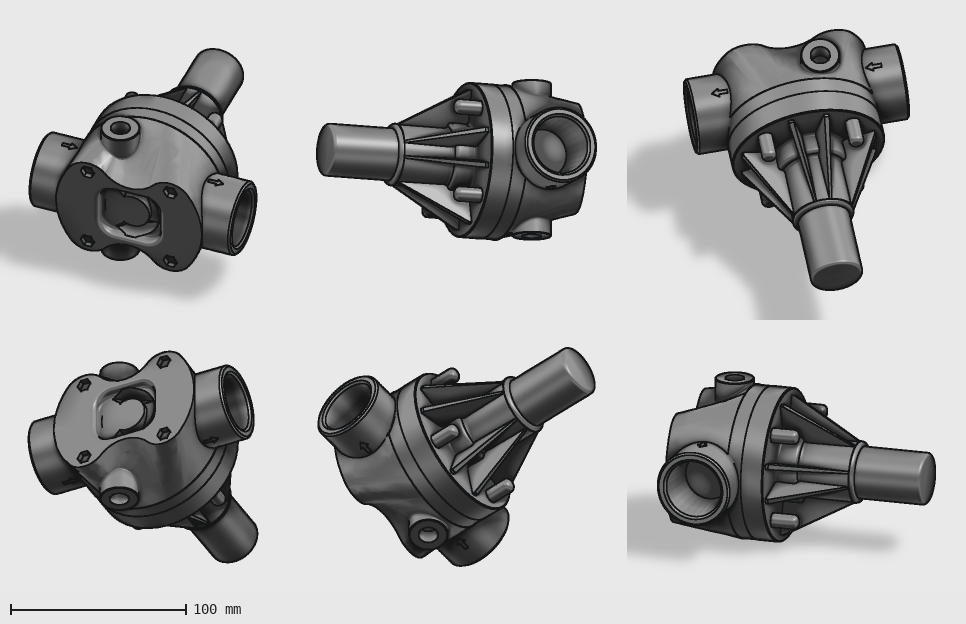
import cadquery as cq
import math

TOTAL_LENGTH = 144.2

BODY_DIAMETER = 89.0
BODY_RADIUS = BODY_DIAMETER / 2
RIM_START = 36.3
FLANGE_START = 45.0
FLANGE_END = 58.1
FLANGE_CHAMFER = 0.6
RIM_RADIUS = 44.1
FLANGE_RADIUS = 44.3

SIDE_ARC_RADIUS = 44.7
LOBE_RADIUS = 13.7
LOBE_X = 25.0
WAIST_Z = 21.0

RIM_SIDE_ANGLE = 62.0
RIM_WAIST_ANGLE = 78.0

PIPE_DIAMETER = 43.5
PIPE_RADIUS = PIPE_DIAMETER / 2
PIPE_SPAN = 123.2
PIPE_CHAMFER = 1.2
BRANCH_Y = 22.2
BORE_DEPTH = 28.8
BORE_MOUTH_DIAMETER = 35.6
BORE_START_DIAMETER = 32.9
BORE_END_DIAMETER = 28.0
BORE_CHAMFER_DEPTH = 1.3
BOSS_DIAMETER = 22.2
BOSS_X = -13.8
BOSS_CHAMFER = 0.5
BOSS_HOLE_DIAMETER = 11.1
BOSS_HOLE_DEPTH = 10.1
DRILL_TIP_ANGLE = 118.0
BOSS_ROOT_FILLET = 1.0
PIPE_ROOT_FILLET = 0.3
ON_WALL_TOLERANCE = 0.001

ARROW_STARTS = (-49.5, 40.2)
ARROW_LENGTH = 9.1
ARROW_HEAD_LENGTH = 4.0
ARROW_HEAD_WIDTH = 5.5
ARROW_SHAFT_WIDTH = 2.3
ARROW_HEIGHT = 0.3

SCREW_OFFSET = 25.4
HEX_CORNER_DIAMETER = 8.4
HEX_DEPTH = 3.6
PIN_DIAMETER = 8.4
PIN_END = 73.5
PIN_FILLET = 2.9

HUB_NECK_RADIUS = 20.5
HUB_FOOT_FILLET = 1.9
HUB_RADIUS = 20.8
HUB_NECK_END = 63.1
HUB_CYLINDER_END = 68.3
HUB_SHOULDER = 70.6
SLEEVE_START = 73.4
SLEEVE_DIAMETER = 34.7
SLEEVE_RADIUS = SLEEVE_DIAMETER / 2
COLLAR_START = 101.0
COLLAR_END = 103.6
COLLAR_DIAMETER = 35.6
COLLAR_FILLET = 2.5
TUBE_DIAMETER = 30.0
TUBE_RADIUS = TUBE_DIAMETER / 2
TUBE_FILLET = 2.2
DOME_HEIGHT = 1.0

RIB_HALF_ANGLE = 15.0
RIB_BASE_RADIUS = 41.0
RIB_TOP_RADIUS = 17.3
RIB_TRIM_RADIUS = 40.1
RIB_BASE_THICKNESS = 3.0
RIB_TOP_THICKNESS = 1.5
RIB_TOP = 100.9

POCKET_HALF_X = 18.9
POCKET_HALF_Z = 16.5
POCKET_CORNER_RADIUS = 9.8
POCKET_LIP_FILLET = 2.6
POCKET_FLOOR_FILLET = 2.6
POCKET_FLOOR = 5.3
WELL_RADIUS = 16.7
WELL_FLOOR = 17.3
PLUG_RADIUS = 10.5
PASSAGE_RADIUS = 13.8
WEDGE_START_X = -9.1
WEDGE_START_Z = 13.5
WEDGE_TIP_X = -5.2
WEDGE_TIP_Z = 9.5
WEDGE_END_X = -2.6


def xz_plane(y):
    """Sketch plane at height y along the main axis: local x = X, local y = Z, normal = -Y."""
    return cq.Workplane("XZ", origin=(0, y, 0))


def disc(radius, start, end):
    """Cylinder on the main axis from Y = start to Y = end."""
    return xz_plane(end).circle(radius).extrude(end - start)


def polar(radius, angle):
    return (radius * math.cos(angle), radius * math.sin(angle))


def arc_chain(corners, middles):
    """Closed outline of arcs; middles[i] lies on the arc from corners[i] to the next corner."""
    outline = cq.Workplane("XZ").moveTo(*corners[0])
    for middle, corner in zip(middles, corners[1:] + corners[:1]):
        outline = outline.threePointArc(middle, corner)
    return outline.close().wire().val()


def mirrored_ring(upper_right):
    """Extend points given in the upper right quadrant, anticlockwise, to all four quadrants."""
    upper_left = [(-x, z) for x, z in reversed(upper_right)]
    lower_left = [(-x, -z) for x, z in upper_right]
    lower_right = [(x, -z) for x, z in reversed(upper_right)]
    return upper_right + upper_left + lower_left + lower_right


def arc_middles(lobe_point, waist_z, side_x):
    """Middle points of the eight arcs, anticlockwise from the upper right lobe."""
    x, z = lobe_point
    return [(x, z), (0, waist_z), (-x, z), (-side_x, 0), (-x, -z), (0, -waist_z), (x, -z), (side_x, 0)]


def tapered_body():
    """Ruled transition from the round rim to the four-lobed mounting face."""
    lobe_centre_distance = SIDE_ARC_RADIUS - LOBE_RADIUS
    lobe_z = math.sqrt(lobe_centre_distance**2 - LOBE_X**2)
    side_angle = math.atan2(lobe_z, LOBE_X)

    drop = WAIST_Z - lobe_z
    waist_radius = (LOBE_X**2 + drop**2 - LOBE_RADIUS**2) / (2 * (LOBE_RADIUS - drop))
    waist_centre_z = WAIST_Z + waist_radius
    share = LOBE_RADIUS / (LOBE_RADIUS + waist_radius)
    waist_end = (LOBE_X * (1 - share), lobe_z + share * (waist_centre_z - lobe_z))

    face_corners = mirrored_ring([polar(SIDE_ARC_RADIUS, side_angle), waist_end])
    lobe_top = (LOBE_X, lobe_z + LOBE_RADIUS)
    face_middles = arc_middles(lobe_top, WAIST_Z, SIDE_ARC_RADIUS)

    rim_side_angle = math.radians(RIM_SIDE_ANGLE)
    rim_waist_angle = math.radians(RIM_WAIST_ANGLE)
    rim_corners = mirrored_ring([polar(BODY_RADIUS, rim_side_angle), polar(BODY_RADIUS, rim_waist_angle)])
    rim_lobe = polar(BODY_RADIUS, (rim_side_angle + rim_waist_angle) / 2)
    rim_middles = arc_middles(rim_lobe, BODY_RADIUS, BODY_RADIUS)

    face = arc_chain(face_corners, face_middles)
    rim = arc_chain(rim_corners, rim_middles).translate(cq.Vector(0, RIM_START, 0))
    return cq.Workplane(cq.Solid.makeLoft([face, rim], True))


def boss_wall_distance(point):
    return math.hypot(point.x - BOSS_X, point.y - BRANCH_Y) - BOSS_DIAMETER / 2


def pipe_wall_distance(point):
    return math.hypot(point.z, point.y - BRANCH_Y) - PIPE_RADIUS


def fillet_root(solid, wall_distance, open_ends, radius):
    """Round the curved edges where a branch wall meets the body, leaving its open ends sharp."""
    end_edges = solid.faces(open_ends).edges().vals()

    def is_root(edge):
        samples = [edge.positionAt(share) for share in (0, 0.3, 0.6, 1)]
        on_wall = all(abs(wall_distance(point)) < ON_WALL_TOLERANCE for point in samples)
        is_end = any(edge.isSame(end_edge) for end_edge in end_edges)
        return on_wall and edge.geomType() != "LINE" and not is_end

    root_edges = [edge for edge in solid.edges().vals() if is_root(edge)]
    return solid.newObject(root_edges).fillet(radius)


def body():
    rim = disc(RIM_RADIUS, RIM_START, FLANGE_START)
    flange = disc(FLANGE_RADIUS, FLANGE_START, FLANGE_END).faces(">Y").chamfer(FLANGE_CHAMFER)
    pipe = (
        cq.Workplane("YZ", origin=(-PIPE_SPAN / 2, BRANCH_Y, 0))
        .circle(PIPE_RADIUS)
        .extrude(PIPE_SPAN)
    )
    bosses = (
        cq.Workplane("XY", origin=(BOSS_X, BRANCH_Y, -BODY_RADIUS))
        .circle(BOSS_DIAMETER / 2)
        .extrude(BODY_DIAMETER)
    )
    core = fillet_root(tapered_body().union(bosses), boss_wall_distance, "<Z or >Z", BOSS_ROOT_FILLET)
    core = core.faces("<Z or >Z").chamfer(BOSS_CHAMFER)
    core = fillet_root(core.union(rim).union(pipe), pipe_wall_distance, "<X or >X", PIPE_ROOT_FILLET)
    core = core.faces("<X or >X").chamfer(PIPE_CHAMFER)
    return core.union(flange)


def pipe_bores():
    """Blind tapered bores in both pipe stubs, each with a chamfered mouth."""
    mouth_x = PIPE_SPAN / 2
    half_profile = [
        (mouth_x, 0),
        (mouth_x, BORE_MOUTH_DIAMETER / 2),
        (mouth_x - BORE_CHAMFER_DEPTH, BORE_START_DIAMETER / 2),
        (mouth_x - BORE_DEPTH, BORE_END_DIAMETER / 2),
        (mouth_x - BORE_DEPTH, 0),
    ]
    bore = (
        cq.Workplane("XY", origin=(0, BRANCH_Y, 0))
        .polyline(half_profile)
        .close()
        .revolve(360, (0, 0, 0), (1, 0, 0))
    )
    return bore.union(bore.mirror("YZ"))


def boss_holes():
    """Blind drilled holes with conical bottoms in the upper and lower bosses."""
    radius = BOSS_HOLE_DIAMETER / 2
    tip = radius / math.tan(math.radians(DRILL_TIP_ANGLE / 2))
    floor_z = BODY_RADIUS - BOSS_HOLE_DEPTH
    hole = (
        cq.Workplane("XZ", origin=(BOSS_X, BRANCH_Y, 0))
        .polyline([(0, BODY_RADIUS), (radius, BODY_RADIUS), (radius, floor_z), (0, floor_z - tip)])
        .close()
        .revolve(360, (0, 0, 0), (0, 1, 0))
    )
    return hole.union(hole.mirror("XY"))


def flow_arrows():
    """Arrows pointing to +X, raised on the top and bottom of both pipe stubs."""
    neck = ARROW_LENGTH - ARROW_HEAD_LENGTH
    half_shaft = ARROW_SHAFT_WIDTH / 2
    half_head = ARROW_HEAD_WIDTH / 2
    outline = [
        (0, -half_shaft), (neck, -half_shaft), (neck, -half_head), (ARROW_LENGTH, 0),
        (neck, half_head), (neck, half_shaft), (0, half_shaft),
    ]
    raised_surface = (
        cq.Workplane("YZ", origin=(-PIPE_SPAN / 2, BRANCH_Y, 0))
        .circle(PIPE_RADIUS + ARROW_HEIGHT)
        .circle(PIPE_RADIUS - ARROW_HEIGHT)
        .extrude(PIPE_SPAN)
    )
    arrows = cq.Workplane("XY")
    for start in ARROW_STARTS:
        arrow = (
            cq.Workplane("XY", origin=(start, BRANCH_Y, -BODY_RADIUS))
            .polyline(outline)
            .close()
            .extrude(BODY_DIAMETER)
        )
        arrows = arrows.union(arrow.intersect(raised_surface))
    return arrows


def screw_positions(plane):
    return plane.rect(2 * SCREW_OFFSET, 2 * SCREW_OFFSET, forConstruction=True).vertices()


def hex_sockets():
    return screw_positions(xz_plane(HEX_DEPTH)).polygon(6, HEX_CORNER_DIAMETER).extrude(HEX_DEPTH)


def pins():
    pin_length = PIN_END - FLANGE_START
    return (
        screw_positions(xz_plane(PIN_END))
        .circle(PIN_DIAMETER / 2)
        .extrude(pin_length)
        .faces(">Y")
        .edges()
        .fillet(PIN_FILLET)
    )


def bonnet():
    """Hub, sleeve, collar and domed tube, turned about the main axis."""
    tube_end = TOTAL_LENGTH - DOME_HEIGHT
    foot_radius = HUB_NECK_RADIUS + HUB_FOOT_FILLET
    shoulder_round = HUB_SHOULDER - HUB_CYLINDER_END
    hub = (
        cq.Workplane("XY")
        .moveTo(0, FLANGE_START)
        .lineTo(foot_radius, FLANGE_START)
        .lineTo(foot_radius, FLANGE_END)
        .radiusArc((HUB_NECK_RADIUS, FLANGE_END + HUB_FOOT_FILLET), HUB_FOOT_FILLET)
        .lineTo(HUB_RADIUS, HUB_NECK_END)
        .lineTo(HUB_RADIUS, HUB_CYLINDER_END)
        .radiusArc((HUB_RADIUS - shoulder_round, HUB_SHOULDER), -shoulder_round)
        .radiusArc((SLEEVE_RADIUS, SLEEVE_START), SLEEVE_START - HUB_SHOULDER)
        .lineTo(SLEEVE_RADIUS, COLLAR_START)
        .lineTo(0, COLLAR_START)
        .close()
        .revolve(360, (0, 0, 0), (0, 1, 0))
    )
    collar = disc(COLLAR_DIAMETER / 2, COLLAR_START, COLLAR_END).faces(">Y").fillet(COLLAR_FILLET)
    tube = disc(TUBE_RADIUS, COLLAR_START, tube_end).faces(">Y").fillet(TUBE_FILLET)
    rim_radius = TUBE_RADIUS - TUBE_FILLET
    dome_radius = (rim_radius**2 + DOME_HEIGHT**2) / (2 * DOME_HEIGHT)
    dome = (
        cq.Workplane("XY")
        .moveTo(0, tube_end)
        .lineTo(rim_radius, tube_end)
        .radiusArc((0, TOTAL_LENGTH), -dome_radius)
        .close()
        .revolve(360, (0, 0, 0), (0, 1, 0))
    )
    return hub.union(collar).union(tube).union(dome)


def rib(angle):
    """Radial triangular rib, thinner towards the collar, with its sharp foot trimmed round."""

    def section(y, reach, thickness):
        return xz_plane(y).center(reach / 2, 0).rect(reach, thickness).wires().val()

    base = section(FLANGE_END, RIB_BASE_RADIUS, RIB_BASE_THICKNESS)
    top = section(RIB_TOP, RIB_TOP_RADIUS, RIB_TOP_THICKNESS)
    blade = cq.Workplane(cq.Solid.makeLoft([base, top], True))
    blade = blade.intersect(disc(RIB_TRIM_RADIUS, FLANGE_END, RIB_TOP))
    return blade.rotate((0, 0, 0), (0, 1, 0), angle)


def pocket_throat():
    """Rounded rectangular pocket with a filleted floor."""
    return (
        xz_plane(POCKET_FLOOR)
        .rect(2 * POCKET_HALF_X, 2 * POCKET_HALF_Z)
        .extrude(POCKET_FLOOR)
        .edges("|Y")
        .fillet(POCKET_CORNER_RADIUS)
        .faces(">Y")
        .edges()
        .fillet(POCKET_FLOOR_FILLET)
    )


def well_block(outline, floor):
    """Prism along Y of an X-Z outline, from the well floor forward to Y = floor."""
    return xz_plane(WELL_FLOOR).polyline(outline).close().extrude(WELL_FLOOR - floor)


def pocket_islands():
    """Material left standing in the round well: plug, side land, sloping wedges and passage wall."""
    plug = disc(PLUG_RADIUS, POCKET_FLOOR, WELL_FLOOR)
    land = well_block(
        [
            (-WELL_RADIUS, -WEDGE_START_Z), (WEDGE_START_X, -WEDGE_START_Z), (WEDGE_TIP_X, -WEDGE_TIP_Z),
            (WEDGE_TIP_X, WEDGE_TIP_Z), (WEDGE_START_X, WEDGE_START_Z), (-WELL_RADIUS, WEDGE_START_Z),
        ],
        POCKET_FLOOR,
    )
    wedges = (
        cq.Workplane("XY", origin=(0, 0, -WELL_RADIUS))
        .polyline([(WEDGE_START_X, POCKET_FLOOR), (WEDGE_END_X, WELL_FLOOR), (WEDGE_START_X, WELL_FLOOR)])
        .close()
        .extrude(2 * WELL_RADIUS)
    )
    passage = cq.Workplane("YZ", origin=(0, BRANCH_Y, 0)).circle(PASSAGE_RADIUS).extrude(WELL_RADIUS)
    return plug.union(land).union(wedges).union(passage)


def with_pocket(solid):
    """Cut the pocket with its rolled lip, then a deeper round well around the islands."""
    margin = 0.1
    mouth_edges = cq.selectors.BoxSelector(
        (-POCKET_HALF_X - margin, -margin, -POCKET_HALF_Z - margin),
        (POCKET_HALF_X + margin, margin, POCKET_HALF_Z + margin),
    )
    pocketed = solid.cut(pocket_throat()).edges(mouth_edges).fillet(POCKET_LIP_FILLET)
    well = disc(WELL_RADIUS, POCKET_FLOOR / 2, WELL_FLOOR).cut(pocket_islands())
    return pocketed.cut(well)


result = (
    with_pocket(body())
    .cut(pipe_bores())
    .cut(boss_holes())
    .cut(hex_sockets())
    .union(flow_arrows())
    .union(pins())
    .union(bonnet())
)
for quarter_turn in range(0, 360, 90):
    for side in (-1, 1):
        result = result.union(rib(quarter_turn + side * RIB_HALF_ANGLE))